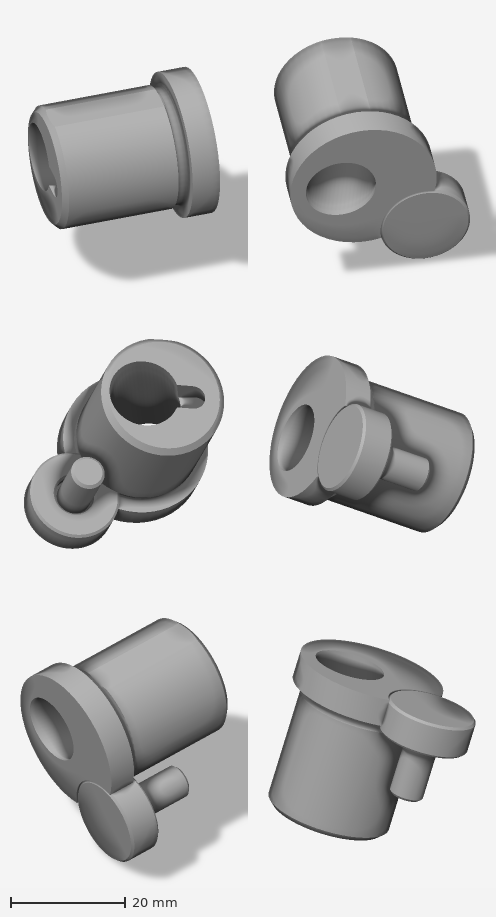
import cadquery as cq
import math


bushing_length = 28.0
flange_radius = 13.0
flange_thickness = 5.0
barrel_radius = 11.0
barrel_chamfer = 1.0
flat_height = 10.7
neck_radius = 10.5
neck_width = 2.0
neck_fillet = barrel_radius - neck_radius
neck_end = flange_thickness + neck_width

bore_radius = 6.0
bore_angle = 15
bore_crossing = 15.0
slot_width = 4.22
slot_offset = 8.4
slot_floor = 6.0

washer_offset = 11.0
washer_radius = 8.0
washer_thickness = 6.0
washer_chamfer = 0.4
washer_hole_radius = 3.45
washer_hole_chamfer = 0.4

pin_length = 16.8
pin_radius = 3.0
pin_chamfer = 0.5
collar_length = 4.5
collar_chamfer = washer_hole_radius - pin_radius


def cylinder(radius, length, start=0):
    """Cylinder on the Y axis, running towards -Y from the given depth."""
    return cq.Workplane("XZ", origin=(0, -start, 0)).circle(radius).extrude(length)


def at_washer(body):
    """Move a body from the bushing axis to the washer axis."""
    return body.translate((-washer_offset, 0, -washer_offset))


def make_barrel():
    """Revolved barrel and flange, with a filleted relief neck between them."""
    fillet_mid = neck_fillet * (1 - math.sqrt(0.5))
    mid_radius = neck_radius + fillet_mid
    profile = (
        cq.Workplane("XY")
        .lineTo(flange_radius, 0)
        .lineTo(flange_radius, -flange_thickness)
        .lineTo(barrel_radius, -flange_thickness)
        .threePointArc(
            (mid_radius, -flange_thickness - fillet_mid),
            (neck_radius, -flange_thickness - neck_fillet),
        )
        .lineTo(neck_radius, -neck_end + neck_fillet)
        .threePointArc((mid_radius, -neck_end + fillet_mid), (barrel_radius, -neck_end))
        .lineTo(barrel_radius, -bushing_length + barrel_chamfer)
        .lineTo(barrel_radius - barrel_chamfer, -bushing_length)
        .lineTo(0, -bushing_length)
        .close()
    )
    return profile.revolve(360, (0, 0, 0), (0, 1, 0))


def make_flat_cutter():
    """Block that planes the top of the barrel, leaving the flange fillet whole."""
    flat_length = bushing_length - flange_thickness - neck_fillet
    block = cq.Workplane("XY").box(
        2 * barrel_radius, flat_length, barrel_radius, centered=(True, False, False)
    )
    return block.translate((0, -bushing_length, flat_height))


def incline_to_bore(body):
    """Move a body from the bushing axis onto the inclined bore axis."""
    return body.rotate((0, 0, 0), (0, 0, 1), -bore_angle).translate((0, -bore_crossing, 0))


def make_bore_cutter():
    """Inclined cylinder long enough to pass through the whole bushing."""
    return incline_to_bore(cylinder(bore_radius, 2 * bushing_length, -bushing_length))


def make_slot_cutter():
    """Blind round-ended slot, parallel to the bore and open to the front."""
    straight = (
        cq.Workplane("XZ", origin=(0, -slot_floor, 0))
        .center(slot_offset / 2, 0)
        .rect(slot_offset, slot_width)
        .extrude(bushing_length)
    )
    round_end = cylinder(slot_width / 2, bushing_length, slot_floor).translate((slot_offset, 0, 0))
    return incline_to_bore(straight.union(round_end))


def make_bushing():
    washer_seat = at_washer(cylinder(washer_radius, washer_thickness))
    return (
        make_barrel()
        .cut(make_flat_cutter())
        .cut(make_bore_cutter())
        .cut(make_slot_cutter())
        .cut(washer_seat)
    )


def make_washer():
    """Disc chamfered on both rims, with a hole chamfered at the front."""
    disc = cylinder(washer_radius, washer_thickness).faces("<Y or >Y").chamfer(washer_chamfer)
    bored = disc.cut(cylinder(washer_hole_radius, washer_thickness))
    hole_rim = bored.faces("<Y").edges(cq.selectors.RadiusNthSelector(0))
    return at_washer(hole_rim.chamfer(washer_hole_chamfer))


def make_pin():
    """Shank with a chamfered tip and a collar that fills the washer hole."""
    shank = cylinder(pin_radius, pin_length).faces("<Y").chamfer(pin_chamfer)
    collar = cylinder(washer_hole_radius, collar_length).faces("<Y").chamfer(collar_chamfer)
    return at_washer(shank.union(collar))


bushing = make_bushing()
washer = make_washer()
pin = make_pin()

result = cq.Compound.makeCompound([bushing.val(), washer.val(), pin.val()])